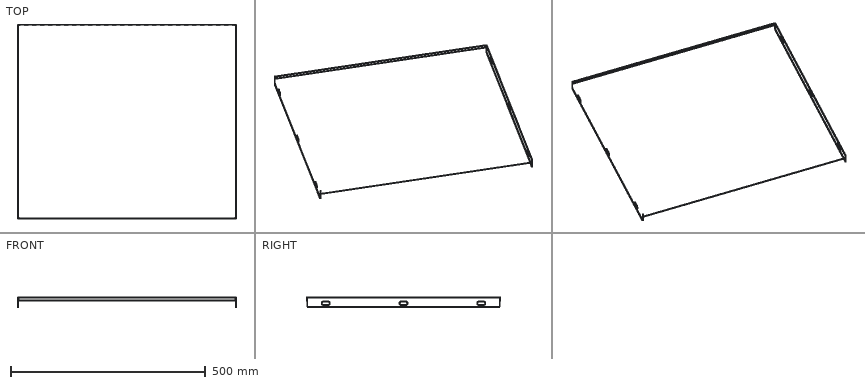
import cadquery as cq

LENGTH_X = 562.0
WIDTH_Y = 499.0
SIDE_HEIGHT = 25.0
END_HEIGHT = 8.5

SHEET = 1.0
BEND_INNER_RADIUS = 1.2
BEND_OUTER_RADIUS = BEND_INNER_RADIUS + SHEET

CORNER_CLEARANCE = 0.2
CORNER_NOTCH = SHEET + CORNER_CLEARANCE
FLANGE_CHAMFER = 2.3

SLOT_LENGTH = 20.0
SLOT_HEIGHT = 8.5
SLOT_PITCH = 200.0
SLOT_COUNT = 3
SLOT_CENTRE_BELOW_TOP = 15.2


def rounded_top_block(length, width, height, radius):
    """Block standing on Z = 0 with its top edges rounded."""
    block = cq.Workplane("XY").rect(length, width).extrude(height)
    return block.faces(">Z").edges().fillet(radius)


def folded_tray():
    """Panel with four downturned flanges, all of full side height."""
    outer = rounded_top_block(LENGTH_X, WIDTH_Y, SIDE_HEIGHT, BEND_OUTER_RADIUS)
    inner = rounded_top_block(
        LENGTH_X - 2 * SHEET,
        WIDTH_Y - 2 * SHEET,
        SIDE_HEIGHT - SHEET,
        BEND_INNER_RADIUS,
    )
    return outer.cut(inner)


def end_flange_trim():
    """Volume between the side flanges that shortens the end flanges."""
    return (
        cq.Workplane("XY")
        .rect(LENGTH_X - 2 * SHEET, WIDTH_Y)
        .extrude(SIDE_HEIGHT - END_HEIGHT)
    )


def corner_notches():
    """Square posts that open the four corners and separate the flanges."""
    return (
        cq.Workplane("XY")
        .rarray(LENGTH_X, WIDTH_Y, 2, 2)
        .rect(2 * CORNER_NOTCH, 2 * CORNER_NOTCH)
        .extrude(SIDE_HEIGHT)
    )


def side_slots():
    """Round-ended slots running along X through both side flanges."""
    return (
        cq.Workplane("YZ", origin=(0, 0, SIDE_HEIGHT - SLOT_CENTRE_BELOW_TOP))
        .rarray(SLOT_PITCH, 1, SLOT_COUNT, 1)
        .slot2D(SLOT_LENGTH, SLOT_HEIGHT)
        .extrude(LENGTH_X, both=True)
    )


shelf = folded_tray().cut(end_flange_trim()).cut(corner_notches())
shelf = shelf.faces("<Z").edges("|X").chamfer(FLANGE_CHAMFER)
result = shelf.cut(side_slots())